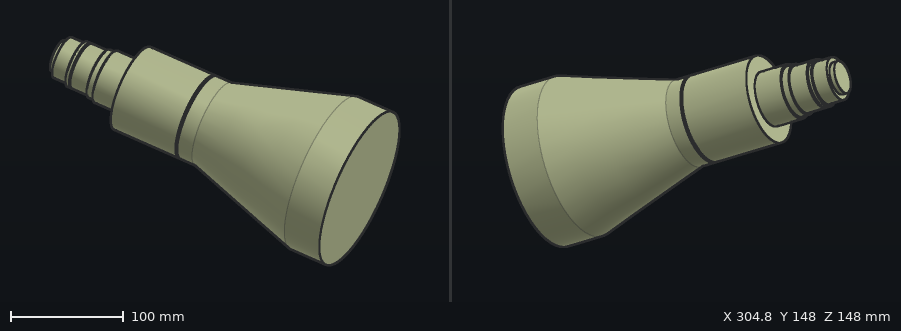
import cadquery as cq

total_length = 304.8
bell_radius = 74.0
body_radius = 40.2

spigot_steps = [
    (0.0, 15.0),
    (5.0, 19.8),
    (19.5, 22.0),
    (41.8, 23.5),
    (48.8, 25.3),
]
body_start = 75.3
cone_start = 157.5
rim_start = 269.5

spigot_groove_start = 23.2
spigot_groove_width = 1.0
spigot_groove_depth = 1.0
body_groove_start = 140.8
body_groove_width = 1.8
body_groove_depth = 3.7


def cylinder(start, end, radius):
    """Solid cylinder on the X axis between two stations."""
    return cq.Workplane("YZ", origin=(start, 0, 0)).circle(radius).extrude(end - start)


def ring_groove(start, width, depth, surface_radius):
    """Annular cutter that sinks a groove into a cylindrical surface."""
    outer = cylinder(start, start + width, surface_radius + depth)
    return outer.cut(cylinder(start, start + width, surface_radius - depth))


bell_outline = [
    (body_start, 0),
    (body_start, body_radius),
    (cone_start, body_radius),
    (rim_start, bell_radius),
    (total_length, bell_radius),
    (total_length, 0),
]
result = cq.Workplane("XY").polyline(bell_outline).close().revolve(360, (0, 0, 0), (1, 0, 0))

step_ends = [start for start, _ in spigot_steps[1:]] + [body_start]
for (start, radius), end in zip(spigot_steps, step_ends):
    result = result.union(cylinder(start, end, radius))

grooved_land_radius = spigot_steps[2][1]
result = result.cut(
    ring_groove(spigot_groove_start, spigot_groove_width, spigot_groove_depth, grooved_land_radius)
)
result = result.cut(
    ring_groove(body_groove_start, body_groove_width, body_groove_depth, body_radius)
)